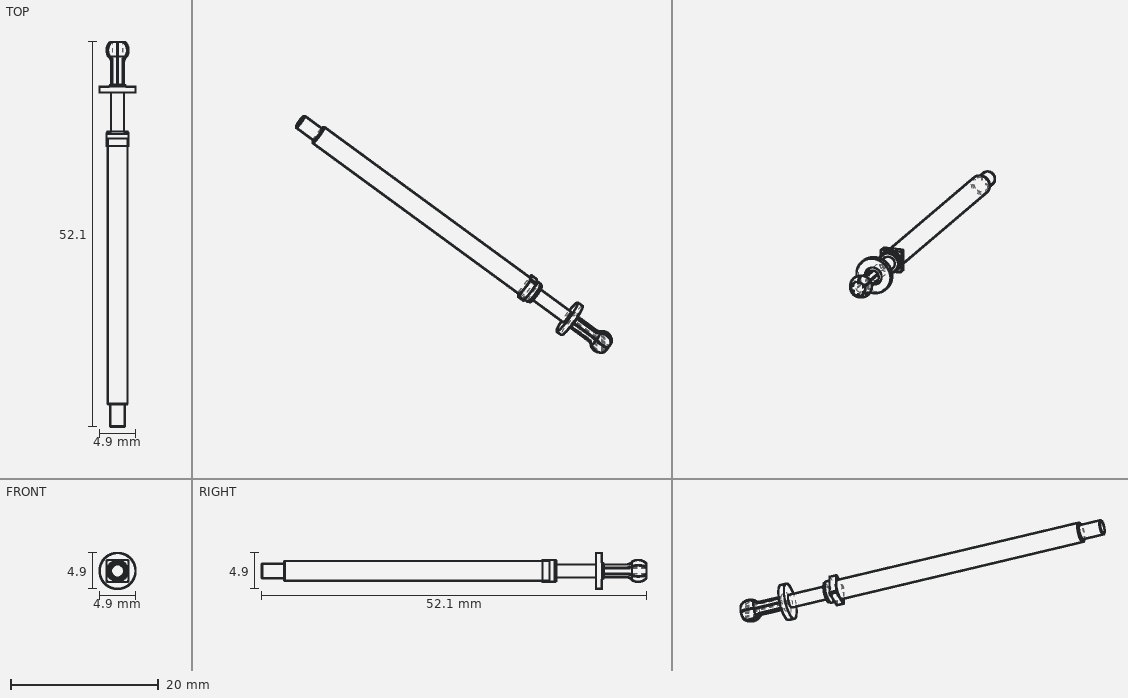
import cadquery as cq
import math

total_length = 52.1

ball_radius = 1.5
ball_center = 1.13
ball_end = 1.97
neck_start = 2.6
neck_radius = 0.9
flare_start = 5.75
flare_radius = 1.2

flange_start = 6.05
flange_end = 6.87
flange_radius = 2.45
stem_radius = neck_radius

collar_start = 12.15
collar_radius = 1.5
collar_chamfer_length = 0.3
collar_chamfer_depth = 0.15
square_start = 13.1
square_end = 14.05
square_width = 2 * collar_radius
square_corner_radius = 2.0

body_radius = 1.35
body_chamfer = 0.15
tail_radius = 1.0
tail_length = 3.0
tail_chamfer = 0.1
body_end = total_length - tail_length

groove_count = 6
groove_width = 0.1
groove_floor_radius = 0.8
groove_start = 0.0
groove_end = flare_start

tip_y = total_length / 2


def at(station, radius):
    """Profile point in the YZ plane."""
    return (tip_y - station, radius)


def turned_body():
    """Every round section of the pin in one revolved profile."""
    tip_flat_radius = math.sqrt(ball_radius**2 - ball_center**2)
    ball_end_radius = math.sqrt(ball_radius**2 - (ball_end - ball_center) ** 2)

    blend_length = neck_start - ball_end
    blend_height = ball_end_radius - neck_radius
    blend_radius = (blend_length**2 + blend_height**2) / (2 * blend_height)
    half_angle = math.asin(blend_length / blend_radius) / 2
    blend_middle = at(
        neck_start - blend_radius * math.sin(half_angle),
        neck_radius + blend_radius * (1 - math.cos(half_angle)),
    )

    profile = (
        cq.Workplane("YZ")
        .moveTo(*at(0, 0))
        .lineTo(*at(0, tip_flat_radius))
        .threePointArc(at(ball_center, ball_radius), at(ball_end, ball_end_radius))
        .threePointArc(blend_middle, at(neck_start, neck_radius))
        .lineTo(*at(flare_start, neck_radius))
        .lineTo(*at(flange_start, flare_radius))
        .lineTo(*at(flange_start, flange_radius))
        .lineTo(*at(flange_end, flange_radius))
        .lineTo(*at(flange_end, stem_radius))
        .lineTo(*at(collar_start, stem_radius))
        .lineTo(*at(collar_start, collar_radius - collar_chamfer_depth))
        .lineTo(*at(collar_start + collar_chamfer_length, collar_radius))
        .lineTo(*at(square_start, collar_radius))
        .lineTo(*at(square_start, body_radius))
        .lineTo(*at(body_end - body_chamfer, body_radius))
        .lineTo(*at(body_end, body_radius - body_chamfer))
        .lineTo(*at(body_end, tail_radius))
        .lineTo(*at(total_length - tail_chamfer, tail_radius))
        .lineTo(*at(total_length, tail_radius - tail_chamfer))
        .lineTo(*at(total_length, 0))
        .close()
    )
    return profile.revolve(360, (0, 0, 0), (1, 0, 0))


def square_collar():
    """Square block whose corners are trimmed by a common circle."""
    plane = cq.Workplane("XZ", origin=(0, tip_y - square_start, 0))
    length = square_end - square_start
    square = plane.rect(square_width, square_width).extrude(length)
    return square.intersect(plane.circle(square_corner_radius).extrude(length))


def cut_grooves(part):
    """Cut the radial grooves from the surface down to the core."""
    length = groove_end - groove_start
    middle_y = tip_y - (groove_start + groove_end) / 2
    groove = (
        cq.Workplane("XY", origin=(0, middle_y, groove_floor_radius))
        .rect(groove_width, length)
        .extrude(ball_radius)
    )
    for index in range(groove_count):
        angle = index * 360 / groove_count
        part = part.cut(groove.rotate((0, 0, 0), (0, 1, 0), angle))
    return part


result = cut_grooves(turned_body().union(square_collar()))